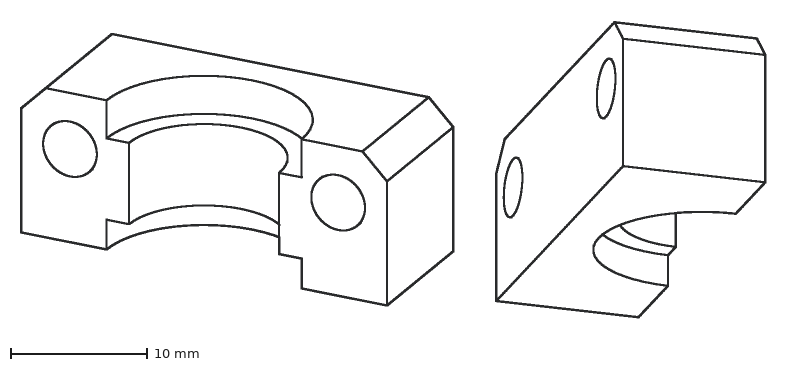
import cadquery as cq

length = 30.0
depth = 11.0
height = 12.0
corner_chamfer = 2.0

bore_diameter = 12.3
recess_diameter = 16.0
top_recess_depth = 3.05
bottom_recess_depth = 2.4

bolt_diameter = 4.4
bolt_spacing = 22.0
bolt_height = 7.5


def upright_cylinder(diameter, bottom, tall):
    """Cylinder on the bearing axis, starting at the given height."""
    return cq.Workplane("XY").workplane(offset=bottom).circle(diameter / 2).extrude(tall)


block = (
    cq.Workplane("XY")
    .box(length, depth, height, centered=(True, False, False))
    .edges("|Y and >Z")
    .chamfer(corner_chamfer)
)

bearing_seat = (
    upright_cylinder(bore_diameter, 0, height)
    .union(upright_cylinder(recess_diameter, 0, bottom_recess_depth))
    .union(upright_cylinder(recess_diameter, height - top_recess_depth, top_recess_depth))
)

bolt_holes = (
    cq.Workplane("XZ")
    .pushPoints([(side * bolt_spacing / 2, bolt_height) for side in (-1, 1)])
    .circle(bolt_diameter / 2)
    .extrude(-depth)
)

result = block.cut(bearing_seat).cut(bolt_holes)